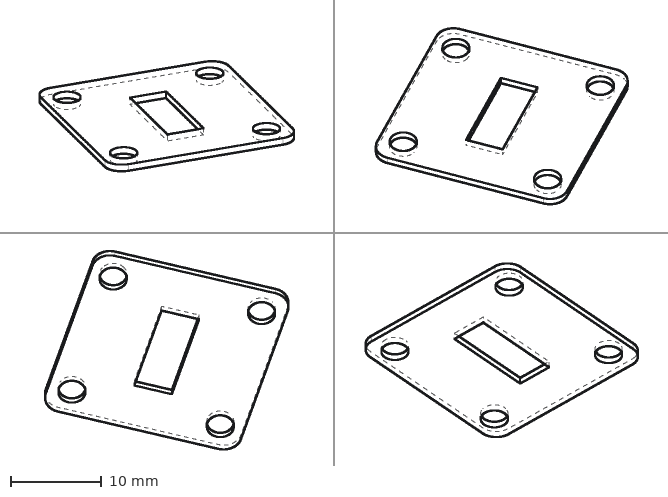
import cadquery as cq

side = 22.4
thickness = 0.8
corner_radius = 2.0

window_length = 10.75
window_width = 4.3

hole_diameter = 3.0
hole_spacing_x = 16.26
hole_spacing_y = 17.02

plate = (
    cq.Workplane("XY")
    .rect(side, side)
    .extrude(thickness)
    .edges("|Z")
    .fillet(corner_radius)
)

window = cq.Workplane("XY").rect(window_length, window_width).extrude(thickness)

mounting_holes = (
    cq.Workplane("XY")
    .rect(hole_spacing_x, hole_spacing_y, forConstruction=True)
    .vertices()
    .circle(hole_diameter / 2)
    .extrude(thickness)
)

result = plate.cut(window).cut(mounting_holes)